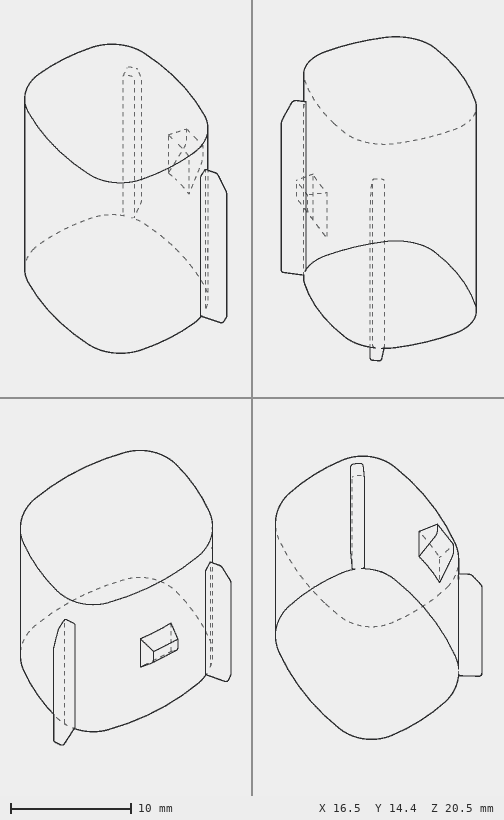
import cadquery as cq
import math

height = 20.5
body_width = 15.27
body_depth = 12.77
front_radius = 19.35
side_radius = 15.5
corner_radius = 4.0

fin_thickness = 1.0
fin_height = 17.0
fin_length = 3.28
fin_shoulder_height = 15.03
fin_slope_angle = 24.0
fin_knee_radius = 1.0
fin_top_radius = 0.5
fin_edge_radius = 0.25
right_fin_tip = (8.67, 4.98)
right_fin_angle = 30.0
left_fin_tip = (-6.87, 6.85)
left_fin_angle = 126.4

hook_reach = 1.58
hook_embed = 0.82
hook_top = 12.85
hook_knee_height = 11.11
hook_slope_angle = 30.0
hook_knee_radius = 2.0
hook_tip_width = 2.34
hook_base_width = 2.95


def make_body():
    """Common volume of four large cylinders, one per side, with rounded upright corners."""
    front_offset = front_radius - body_depth / 2
    side_offset = side_radius - body_width / 2
    body = cq.Workplane("XY").center(0, front_offset).circle(front_radius).extrude(height)
    for x, y, radius in (
        (0, -front_offset, front_radius),
        (side_offset, 0, side_radius),
        (-side_offset, 0, side_radius),
    ):
        body = body.intersect(cq.Workplane("XY").center(x, y).circle(radius).extrude(height))
    return body.edges("|Z").fillet(corner_radius)


def make_fin(tip, angle):
    """Plate whose outer edge stands at tip, pointing along angle, with all outer edges rounded."""
    slope_run = (fin_height - fin_shoulder_height) * math.tan(math.radians(fin_slope_angle))
    fin = (
        cq.Workplane("XZ")
        .moveTo(-fin_length, 0)
        .lineTo(0, 0)
        .lineTo(0, fin_shoulder_height)
        .lineTo(-slope_run, fin_height)
        .lineTo(-fin_length, fin_height)
        .close()
        .extrude(fin_thickness / 2, both=True)
    )

    knee = cq.selectors.NearestToPointSelector((0, 0, fin_shoulder_height))
    fin = fin.edges("|Y").edges(knee).fillet(fin_knee_radius)
    top_corner = cq.selectors.NearestToPointSelector((-slope_run, 0, fin_height))
    fin = fin.edges("|Y").edges(top_corner).fillet(fin_top_radius)
    fin = fin.faces("not <X").edges("not <X").fillet(fin_edge_radius)
    return fin.rotate((0, 0, 0), (0, 0, 1), angle).translate((tip[0], tip[1], 0))


def make_hook():
    """Catch with a flat top, a rounded lower nose and sides that taper towards the tip."""
    rear_y = body_depth / 2
    tip_y = rear_y + hook_reach
    root_y = rear_y - hook_embed
    slope_drop = (tip_y - root_y) / math.tan(math.radians(hook_slope_angle))
    profile = (
        cq.Workplane("YZ")
        .moveTo(root_y, hook_top)
        .lineTo(tip_y, hook_top)
        .lineTo(tip_y, hook_knee_height)
        .lineTo(root_y, hook_knee_height - slope_drop)
        .close()
        .extrude(hook_base_width, both=True)
    )
    knee = cq.selectors.NearestToPointSelector((0, tip_y, hook_knee_height))
    profile = profile.edges("|X").edges(knee).fillet(hook_knee_radius)

    taper = (hook_base_width - hook_tip_width) / 2 / hook_reach
    root_half_width = hook_base_width / 2 + taper * hook_embed
    plan = (
        cq.Workplane("XY")
        .moveTo(-root_half_width, root_y)
        .lineTo(root_half_width, root_y)
        .lineTo(hook_tip_width / 2, tip_y)
        .lineTo(-hook_tip_width / 2, tip_y)
        .close()
        .extrude(height)
    )
    return profile.intersect(plan)


result = (
    make_body()
    .union(make_fin(right_fin_tip, right_fin_angle))
    .union(make_fin(left_fin_tip, left_fin_angle))
    .union(make_hook())
)